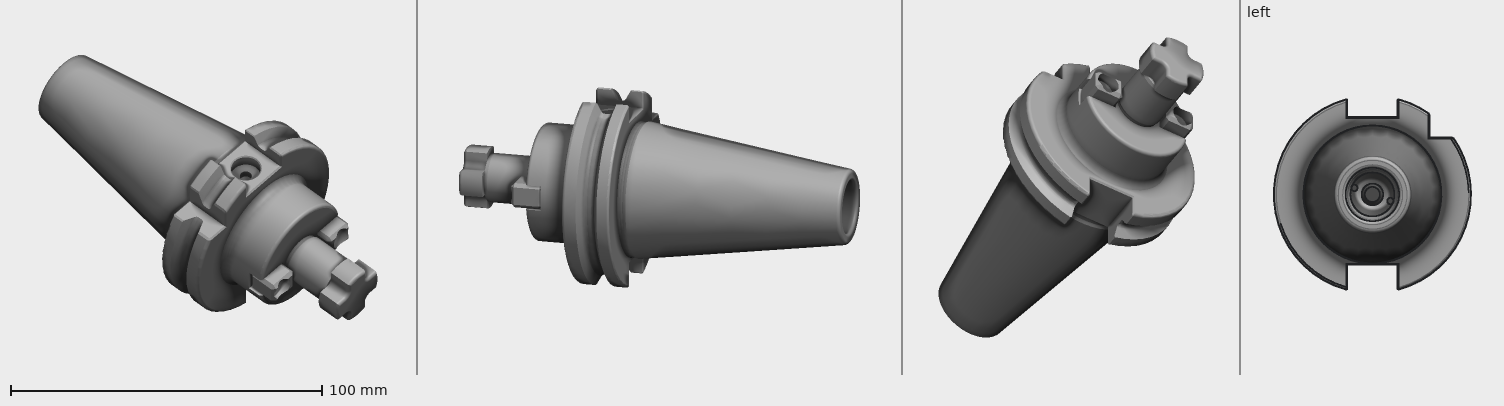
import cadquery as cq
import math


TAPER_LENGTH = 68.8
TAPER_RADIUS = 22.2
TAPER_RATE = 7 / 24
TAPER_END_ROUND = 1.3
RELIEF_DEPTH = 0.4
RELIEF_ENTRY = 1.2
RELIEF_EXIT = 0.8
RELIEF_END_RADIUS = 22.1

FLANGE_START = 71.6
FLANGE_WIDTH = 15.9
FLANGE_RADIUS = 31.7
FLANGE_REAR_ROUND = 0.8
FLANGE_FRONT_ROUND = 1.2
GROOVE_CENTER = 79.2
GROOVE_MOUTH = 6.9
GROOVE_ROOT_RADIUS = 28.1
GROOVE_HALF_ANGLE = 30
GROOVE_ROOT_FILLET = 1.2

SLOT_WIDTH = 16.0
UPPER_SLOT_FLOOR = 24.9
LOWER_SLOT_FLOOR = 22.6
NOTCH_EDGE = 18.4
CUT_REAR_CHAMFER = 0.4
CUT_FRONT_CHAMFER = 0.5

CHIP_POCKET_RADIUS = 4.8
CHIP_POCKET_DEPTH = 4.1
CHIP_POCKET_CHAMFER = 0.4
CHIP_PILOT_RADIUS = 1.9
CHIP_PILOT_DEPTH = 2.6
DRILL_POINT_ANGLE = 118

COLLAR_RADIUS = 19.1
COLLAR_END = 103.4
COLLAR_ROUND = 1.2
COLLAR_FLARE_LENGTH = 3.0
COLLAR_FLARE_RISE = 1.8
SPIGOT_RADIUS = 8.0
SPIGOT_END = 120.5
SPIGOT_CHAMFER_LENGTH = 1.2
SPIGOT_CHAMFER_DEPTH = 0.3
UNDERCUT_DEPTH = 0.4
UNDERCUT_WIDTH = 1.5
UNDERCUT_SLOPE = 0.8

BORE_MOUTH_ROUND = 1.0
PILOT_RADIUS = 8.6
PILOT_LENGTH = 5.3
LEAD_RADIUS = 8.1
LEAD_START = 6.0
THREAD_RADIUS = 7.0
THREAD_START = 8.7
THREAD_END = 33.4
BORE_CONE_LENGTH = 2.6
CHANNEL_RADIUS = 1.0
CHANNEL_OFFSET = 6.2
CHANNEL_ANGLE = 20

SHANK_RADIUS = 3.5
SHANK_TIP_RADIUS = 2.5
SHANK_START = 77.0
HEAD_RADIUS = 10.0
HEAD_END = 128.4
HEAD_ROUND = 1.2
LOBE_WIDTH = 8.1
LOBE_ROOT_RADIUS = 2.0

KEY_START = 98.1
KEY_END = 108.5
KEY_WIDTH = 8.1
KEY_INNER = 8.2
KEY_OUTER = 18.4
KEY_CHAMFER = 1.2
KEY_POCKET_RADIUS = 3.7
KEY_POCKET_OFFSET = 14.0
KEY_POCKET_DEPTH = 3.9

TAPER_END_RADIUS = TAPER_RADIUS - TAPER_LENGTH * TAPER_RATE / 2
FLANGE_END = FLANGE_START + FLANGE_WIDTH
FLANGE_MIDDLE = FLANGE_START + FLANGE_WIDTH / 2
BORE_END = THREAD_END + BORE_CONE_LENGTH


def turned(outline):
    """Revolve a closed (x, radius) outline about the tool axis."""
    return outline.close().revolve(360, (0, 0, 0), (1, 0, 0))


def box(x_range, y_range, z_range):
    """Axis-aligned box from its limits."""
    size = [high - low for low, high in (x_range, y_range, z_range)]
    corner = (x_range[0], y_range[0], z_range[0])
    return cq.Workplane("XY").box(*size, centered=False).translate(corner)


def cylinder_along_x(radius, start, end, y=0.0, z=0.0):
    return cq.Workplane("YZ", origin=(start, y, z)).circle(radius).extrude(end - start)


def turned_holder():
    relief_radius = TAPER_RADIUS - RELIEF_DEPTH
    undercut_radius = SPIGOT_RADIUS - UNDERCUT_DEPTH
    undercut_end = COLLAR_END + UNDERCUT_WIDTH
    flare_radius = (COLLAR_FLARE_LENGTH**2 + COLLAR_FLARE_RISE**2) / (2 * COLLAR_FLARE_RISE)
    flare_end = FLANGE_END + COLLAR_FLARE_LENGTH
    half_length = COLLAR_FLARE_LENGTH / 2
    half_rise = flare_radius - math.sqrt(flare_radius**2 - half_length**2)
    outline = (
        cq.Workplane("XZ")
        .moveTo(0, 0)
        .lineTo(0, TAPER_END_RADIUS)
        .lineTo(TAPER_LENGTH, TAPER_RADIUS)
        .lineTo(TAPER_LENGTH + RELIEF_ENTRY, relief_radius)
        .lineTo(FLANGE_START - RELIEF_EXIT, relief_radius)
        .lineTo(FLANGE_START, RELIEF_END_RADIUS)
        .lineTo(FLANGE_START, FLANGE_RADIUS - FLANGE_REAR_ROUND)
        .tangentArcPoint((FLANGE_REAR_ROUND, FLANGE_REAR_ROUND))
        .lineTo(FLANGE_END - FLANGE_FRONT_ROUND, FLANGE_RADIUS)
        .tangentArcPoint((FLANGE_FRONT_ROUND, -FLANGE_FRONT_ROUND))
        .lineTo(FLANGE_END, COLLAR_RADIUS + COLLAR_FLARE_RISE)
        .threePointArc((flare_end - half_length, COLLAR_RADIUS + half_rise), (flare_end, COLLAR_RADIUS))
        .lineTo(COLLAR_END - COLLAR_ROUND, COLLAR_RADIUS)
        .tangentArcPoint((COLLAR_ROUND, -COLLAR_ROUND))
        .lineTo(COLLAR_END, undercut_radius)
        .lineTo(undercut_end - UNDERCUT_SLOPE, undercut_radius)
        .lineTo(undercut_end, SPIGOT_RADIUS)
        .lineTo(SPIGOT_END - SPIGOT_CHAMFER_LENGTH, SPIGOT_RADIUS)
        .lineTo(SPIGOT_END, SPIGOT_RADIUS - SPIGOT_CHAMFER_DEPTH)
        .lineTo(SPIGOT_END, 0)
    )
    return turned(outline).faces("<X").edges().fillet(TAPER_END_ROUND)


def gripper_groove():
    """Ring with the groove's V section, rounded at the root."""
    depth = FLANGE_RADIUS - GROOVE_ROOT_RADIUS
    half_root = GROOVE_MOUTH / 2 - depth * math.tan(math.radians(GROOVE_HALF_ANGLE))
    half_mouth = GROOVE_MOUTH / 2
    ring = turned(
        cq.Workplane("XZ")
        .moveTo(GROOVE_CENTER - half_root, GROOVE_ROOT_RADIUS)
        .lineTo(GROOVE_CENTER - half_mouth, FLANGE_RADIUS)
        .lineTo(GROOVE_CENTER + half_mouth, FLANGE_RADIUS)
        .lineTo(GROOVE_CENTER + half_root, GROOVE_ROOT_RADIUS)
    )
    root_edges = cq.selectors.RadiusNthSelector(0)
    return ring.edges(root_edges).fillet(GROOVE_ROOT_FILLET)


def flange_cuts():
    """Two drive slots and the orientation notch."""
    flange_x = (FLANGE_START, FLANGE_END)
    slot_y = (-SLOT_WIDTH / 2, SLOT_WIDTH / 2)
    upper = box(flange_x, slot_y, (UPPER_SLOT_FLOOR, FLANGE_RADIUS))
    lower = box(flange_x, slot_y, (-FLANGE_RADIUS, -LOWER_SLOT_FLOOR))
    notch = box(flange_x, (-FLANGE_RADIUS, -NOTCH_EDGE), (NOTCH_EDGE, FLANGE_RADIUS))
    return upper, lower, notch


def chamfer_cut_edges(holder, x, chamfer):
    """Chamfer the slot and notch edges on the flange face at x, and on round the rim."""
    margin = chamfer / 2
    near_face = cq.selectors.BoxSelector(
        (x - margin, -FLANGE_RADIUS, -FLANGE_RADIUS), (x + margin, FLANGE_RADIUS, FLANGE_RADIUS)
    )
    return holder.edges("|Y or |Z").edges(near_face).chamfer(chamfer)


def chip_pocket():
    """Stepped blind hole down from the upper slot floor, ending in a drill point."""
    floor = UPPER_SLOT_FLOOR - CHIP_POCKET_DEPTH
    pilot_floor = floor - CHIP_PILOT_DEPTH
    point_depth = CHIP_PILOT_RADIUS / math.tan(math.radians(DRILL_POINT_ANGLE / 2))
    return (
        cq.Workplane("XZ")
        .moveTo(0, UPPER_SLOT_FLOOR)
        .lineTo(CHIP_POCKET_RADIUS + CHIP_POCKET_CHAMFER, UPPER_SLOT_FLOOR)
        .lineTo(CHIP_POCKET_RADIUS, UPPER_SLOT_FLOOR - CHIP_POCKET_CHAMFER)
        .lineTo(CHIP_POCKET_RADIUS, floor)
        .lineTo(CHIP_PILOT_RADIUS, floor)
        .lineTo(CHIP_PILOT_RADIUS, pilot_floor)
        .lineTo(0, pilot_floor - point_depth)
        .close()
        .revolve(360, (0, 0, 0), (0, 1, 0))
        .translate((FLANGE_MIDDLE, 0, 0))
    )


def drawbar_bore():
    return turned(
        cq.Workplane("XZ")
        .moveTo(0, 0)
        .lineTo(0, PILOT_RADIUS + BORE_MOUTH_ROUND)
        .radiusArc((BORE_MOUTH_ROUND, PILOT_RADIUS), -BORE_MOUTH_ROUND)
        .lineTo(PILOT_LENGTH, PILOT_RADIUS)
        .lineTo(LEAD_START, LEAD_RADIUS)
        .lineTo(THREAD_START, THREAD_RADIUS)
        .lineTo(THREAD_END, THREAD_RADIUS)
        .lineTo(BORE_END, SHANK_RADIUS)
        .lineTo(BORE_END, 0)
    )


def coolant_channels():
    """Two opposite channels from the bore floor to the spigot's end face."""
    angle = math.radians(CHANNEL_ANGLE)
    y = CHANNEL_OFFSET * math.cos(angle)
    z = CHANNEL_OFFSET * math.sin(angle)
    return [cylinder_along_x(CHANNEL_RADIUS, THREAD_END, SPIGOT_END, s * y, s * z) for s in (1, -1)]


def key_block(side):
    """Sharp-edged envelope of the key on the +Y (side = 1) or -Y (side = -1) side."""
    y_range = sorted((side * KEY_INNER, side * KEY_OUTER))
    return box((KEY_START, KEY_END), y_range, (-KEY_WIDTH / 2, KEY_WIDTH / 2))


def key_slot(side):
    """Slot for one key, open through the collar's outer surface."""
    y_range = sorted((side * KEY_INNER, side * COLLAR_RADIUS))
    return box((KEY_START, COLLAR_END), y_range, (-KEY_WIDTH / 2, KEY_WIDTH / 2))


def make_holder():
    holder = turned_holder().cut(gripper_groove())
    for cut in flange_cuts():
        holder = holder.cut(cut)
    holder = chamfer_cut_edges(holder, FLANGE_START, CUT_REAR_CHAMFER)
    holder = chamfer_cut_edges(holder, FLANGE_END, CUT_FRONT_CHAMFER)
    holder = holder.cut(chip_pocket())
    holder = holder.cut(drawbar_bore())
    holder = holder.cut(cylinder_along_x(SHANK_RADIUS, THREAD_END, SPIGOT_END))
    for channel in coolant_channels():
        holder = holder.cut(channel)
    for side in (1, -1):
        holder = holder.cut(key_slot(side))
    return holder


def make_clamping_screw():
    """Round shank with a four-lobed head seated on the spigot's end face."""
    tip_chamfer = SHANK_RADIUS - SHANK_TIP_RADIUS
    screw = turned(
        cq.Workplane("XZ")
        .moveTo(SHANK_START, 0)
        .lineTo(SHANK_START, SHANK_TIP_RADIUS)
        .lineTo(SHANK_START + tip_chamfer, SHANK_RADIUS)
        .lineTo(SPIGOT_END, SHANK_RADIUS)
        .lineTo(SPIGOT_END, HEAD_RADIUS)
        .lineTo(HEAD_END, HEAD_RADIUS)
        .lineTo(HEAD_END, 0)
    )
    inner = LOBE_WIDTH / 2
    corner = box((SPIGOT_END, HEAD_END), (inner, HEAD_RADIUS), (inner, HEAD_RADIUS))
    corner = corner.edges("|X and <Y and <Z").fillet(LOBE_ROOT_RADIUS)
    for quarter in range(4):
        screw = screw.cut(corner.rotate((0, 0, 0), (1, 0, 0), quarter * 90))
    return screw.faces(">X").edges().fillet(HEAD_ROUND)


def make_drive_key(side):
    """Chamfered key with a screw counterbore in its free end."""
    pocket = cylinder_along_x(
        KEY_POCKET_RADIUS, KEY_END - KEY_POCKET_DEPTH, KEY_END, side * KEY_POCKET_OFFSET
    )
    return key_block(side).edges().chamfer(KEY_CHAMFER).cut(pocket)


holder = make_holder()
clamping_screw = make_clamping_screw()
drive_keys = [make_drive_key(side) for side in (1, -1)]

result = cq.Compound.makeCompound(
    [holder.val(), clamping_screw.val(), *[key.val() for key in drive_keys]]
)